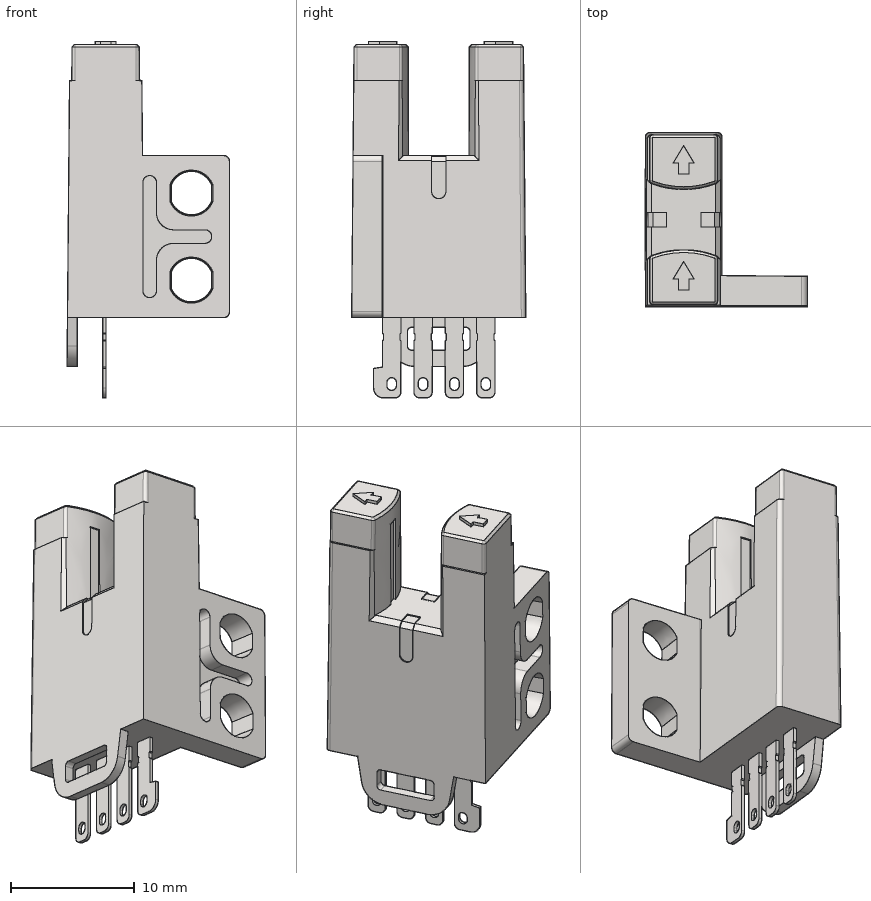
import cadquery as cq
import math

DRAFT_ANGLE = 0.5
BODY_WIDTH = 6.2
BODY_DEPTH = 14.12
TOTAL_WIDTH = 13.17
TOTAL_HEIGHT = 28.88
PLATE_HEIGHT = 13.15
PLATE_THICKNESS = 2.55
CAP_BASE_Z = 19.2
CAP_TOP_Z = 22.12
ARROW_TOP_Z = 22.38
REAR_CORNER_RADIUS = 0.38

GAP_DRAFT_ANGLE = 0.2
GAP_HALF_AT_EDGE = 3.12
LEG_BULGE = 0.7
GAP_BEVEL = 0.4
BEVEL_HALF_GAP = 3.25

CAP_WIDTH = 5.52
CAP_CORNER_RADIUS = 0.3
CAP_BEVEL = 0.2

SLIT_WIDTH = 0.98
SLIT_DEPTH = 0.2
SLIT_TOP_Z = 20.6

INDEX_WIDTH = 1.15
INDEX_DEPTH = 0.1
INDEX_LENGTH_ON_FLOOR = 1.73
INDEX_BOTTOM_Z = 9.65

PLATE_CORNER_RADIUS = 0.5
HOLE_X = 10.08
HOLE_SPACING = 7.05
HOLE_DIAMETER = 3.73
HOLE_ACROSS_FLATS = 3.47
HOLE_TAPER = 2.5

GROOVE_WIDTH = 1.1
GROOVE_LEFT_X = 6.15
GROOVE_TIP_X = 11.73
GROOVE_LENGTH = 9.88
GROOVE_INNER_RADIUS = 1.4
GROOVE_DEPTH = 1.5

TAB_THICKNESS = 0.85
TAB_TOP_WIDTH = 8.5
TAB_HEIGHT = 3.95
TAB_SIDE_ANGLE = 9.0
TAB_CORNER_RADIUS = 2.0
WINDOW_WIDTH = 5.05
WINDOW_HEIGHT = 1.85
WINDOW_TOP_Z = -0.78
WINDOW_RADIUS = 0.35

TERMINAL_COUNT = 4
TERMINAL_PITCH = 2.55
TERMINAL_X = 3.03
TERMINAL_THICKNESS = 0.3
TERMINAL_WIDTH = 1.5
TERMINAL_BOTTOM_Z = ARROW_TOP_Z - TOTAL_HEIGHT
TERMINAL_RADIUS = 0.5
TERMINAL_EMBED = 0.58
TERMINAL_HOLE_WIDTH = 0.75
TERMINAL_HOLE_HEIGHT = 1.0
TERMINAL_HOLE_Z = -5.37
NOTCH_DEPTH = 0.1
NOTCH_TOP_Z = -1.25
NOTCH_BOTTOM_Z = -1.88
FLAG_OVERHANG = 0.72
FLAG_TOP_Z = -3.99
FLAG_SLOPE_DROP = 0.12
FLAG_RADIUS = 0.8

ARROW_LENGTH = 2.3
ARROW_HEAD_LENGTH = 1.42
ARROW_HEAD_WIDTH = 1.7
ARROW_STEM_WIDTH = 0.85
ARROW_SPACING = 9.4
ARROW_SHIFT_Y = 0.15

DRAFT = math.tan(math.radians(DRAFT_ANGLE))
BODY_LEFT = DRAFT * TAB_HEIGHT
BODY_RIGHT = BODY_LEFT + BODY_WIDTH
CENTER_X = BODY_LEFT + BODY_WIDTH / 2
CENTER_Y = BODY_DEPTH / 2


def box(x, y, z):
    """Axis-aligned box from (min, max) pairs."""
    size = (x[1] - x[0], y[1] - y[0], z[1] - z[0])
    return cq.Workplane("XY").box(*size, centered=False).translate((x[0], y[0], z[0]))


def mirror_x(shape):
    return shape.mirror("YZ", (CENTER_X, 0, 0))


def mirror_y(shape):
    return shape.mirror("XZ", (0, CENTER_Y, 0))


def housing_block():
    """Drafted block with rounded rear corners."""
    return (
        cq.Workplane("XY", origin=(CENTER_X, CENTER_Y, 0))
        .rect(BODY_WIDTH, BODY_DEPTH)
        .extrude(CAP_BASE_Z, taper=DRAFT_ANGLE)
        .faces(">Y")
        .edges("not |X")
        .fillet(REAR_CORNER_RADIUS)
    )


def gap_cutter():
    """Space between the legs; both walls bulge into it and lean slightly apart."""
    half = GAP_HALF_AT_EDGE
    waist = half - LEG_BULGE
    return (
        cq.Workplane("XY", origin=(0, CENTER_Y, PLATE_HEIGHT))
        .moveTo(BODY_LEFT, -half)
        .threePointArc((CENTER_X, -waist), (BODY_RIGHT, -half))
        .lineTo(BODY_RIGHT, half)
        .threePointArc((CENTER_X, waist), (BODY_LEFT, half))
        .close()
        .extrude(CAP_TOP_Z - PLATE_HEIGHT, taper=-GAP_DRAFT_ANGLE)
    )


def gap_edge_bevel():
    """45-degree bevel along the floor and walls of the gap at the -X face."""
    bottom_z = PLATE_HEIGHT - GAP_BEVEL
    height = 2 * (CAP_TOP_Z - bottom_z)
    return (
        cq.Workplane("YZ", origin=(BODY_LEFT + DRAFT * bottom_z, CENTER_Y, bottom_z + height / 2))
        .rect(2 * BEVEL_HALF_GAP, height)
        .extrude(2 * GAP_BEVEL, taper=45)
    )


def index_groove():
    """Shallow groove running up the -X face, over the bevel and along the gap floor."""
    face_x = BODY_LEFT + DRAFT * PLATE_HEIGHT + INDEX_DEPTH
    floor_z = PLATE_HEIGHT - INDEX_DEPTH
    radius = INDEX_WIDTH / 2
    path = (
        cq.Workplane("XZ", origin=(0, CENTER_Y, 0))
        .moveTo(0, INDEX_BOTTOM_Z)
        .lineTo(face_x, INDEX_BOTTOM_Z)
        .lineTo(face_x, floor_z - GAP_BEVEL)
        .lineTo(face_x + GAP_BEVEL, floor_z)
        .lineTo(INDEX_LENGTH_ON_FLOOR, floor_z)
        .lineTo(INDEX_LENGTH_ON_FLOOR, PLATE_HEIGHT)
        .lineTo(0, PLATE_HEIGHT)
        .close()
        .extrude(radius, both=True)
    )
    outline = (
        cq.Workplane("YZ", origin=(0, CENTER_Y, INDEX_BOTTOM_Z + radius))
        .moveTo(-radius, PLATE_HEIGHT)
        .lineTo(-radius, 0)
        .threePointArc((0, -radius), (radius, 0))
        .lineTo(radius, PLATE_HEIGHT)
        .close()
        .extrude(INDEX_LENGTH_ON_FLOOR)
    )
    return path.intersect(outline)


def leg_caps():
    """Narrower caps on both legs, with rounded corners and bevelled tops."""
    depth = BODY_DEPTH - 2 * DRAFT * CAP_BASE_Z
    outline = cq.Sketch().rect(CAP_WIDTH, depth).vertices().fillet(CAP_CORNER_RADIUS)
    gap_corners = cq.selectors.BoxSelector(
        (0, CENTER_Y - GAP_HALF_AT_EDGE - CAP_CORNER_RADIUS, CAP_BASE_Z + CAP_BEVEL),
        (BODY_RIGHT, CENTER_Y + GAP_HALF_AT_EDGE + CAP_CORNER_RADIUS, CAP_TOP_Z - CAP_BEVEL),
    )
    return (
        cq.Workplane("XY", origin=(CENTER_X, CENTER_Y, CAP_BASE_Z))
        .placeSketch(outline)
        .extrude(CAP_TOP_Z - CAP_BASE_Z, taper=DRAFT_ANGLE)
        .cut(gap_cutter())
        .edges(gap_corners)
        .fillet(CAP_CORNER_RADIUS)
        .faces(">Z")
        .chamfer(CAP_BEVEL)
    )


def light_slit():
    """Shallow vertical slit in the inner face of the front leg."""
    face_y = CENTER_Y - GAP_HALF_AT_EDGE + LEG_BULGE
    return box(
        (CENTER_X - SLIT_WIDTH / 2, CENTER_X + SLIT_WIDTH / 2),
        (face_y - SLIT_DEPTH, CENTER_Y),
        (PLATE_HEIGHT, SLIT_TOP_Z),
    )


def arrow():
    """Raised arrow pointing to +Y, set slightly behind the middle of the housing."""
    tip = ARROW_LENGTH / 2
    shoulder = tip - ARROW_HEAD_LENGTH
    half_head = ARROW_HEAD_WIDTH / 2
    half_stem = ARROW_STEM_WIDTH / 2
    return (
        cq.Workplane("XY", origin=(CENTER_X, CENTER_Y + ARROW_SHIFT_Y, CAP_TOP_Z))
        .polyline([
            (0, tip),
            (half_head, shoulder),
            (half_stem, shoulder),
            (half_stem, -tip),
            (-half_stem, -tip),
            (-half_stem, shoulder),
            (-half_head, shoulder),
        ])
        .close()
        .extrude(ARROW_TOP_Z - CAP_TOP_Z)
    )


def mounting_plate():
    """Plate beside the housing; its front follows the housing draft, its back thins outwards."""
    start_x = CENTER_X
    outer_back = PLATE_THICKNESS - DRAFT * (TOTAL_WIDTH - BODY_RIGHT)
    plan = (
        cq.Workplane("XY")
        .polyline([
            (start_x, 0),
            (TOTAL_WIDTH, 0),
            (TOTAL_WIDTH, outer_back),
            (BODY_RIGHT, PLATE_THICKNESS),
            (start_x, PLATE_THICKNESS),
        ])
        .close()
        .extrude(PLATE_HEIGHT)
        .edges("|Y and >X")
        .fillet(PLATE_CORNER_RADIUS)
    )
    side = (
        cq.Workplane("YZ")
        .polyline([
            (0, 0),
            (PLATE_THICKNESS, 0),
            (PLATE_THICKNESS, PLATE_HEIGHT),
            (DRAFT * PLATE_HEIGHT, PLATE_HEIGHT),
        ])
        .close()
        .extrude(TOTAL_WIDTH)
    )
    return plan.intersect(side)


def mounting_holes():
    """Two round through holes with flats on both sides, narrowing towards the back."""
    radius = HOLE_DIAMETER / 2
    half = HOLE_ACROSS_FLATS / 2
    half_flat = math.sqrt(radius**2 - half**2)
    holes = cq.Workplane("XZ")
    for side in (-1, 1):
        hole = (
            cq.Workplane("XZ", origin=(HOLE_X, 0, PLATE_HEIGHT / 2 + side * HOLE_SPACING / 2))
            .moveTo(half, -half_flat)
            .lineTo(half, half_flat)
            .threePointArc((0, radius), (-half, half_flat))
            .lineTo(-half, -half_flat)
            .threePointArc((0, -radius), (half, -half_flat))
            .close()
            .extrude(-PLATE_THICKNESS, taper=HOLE_TAPER)
        )
        holes = holes.add(hole)
    return holes.combine()


def plate_groove():
    """T-shaped blind groove with rounded ends and rounded inner corners."""
    half = GROOVE_WIDTH / 2
    middle = PLATE_HEIGHT / 2
    stem_x = GROOVE_LEFT_X + half
    corner = half + GROOVE_INNER_RADIUS
    upright = (
        cq.Workplane("XZ", origin=(stem_x, 0, middle))
        .slot2D(GROOVE_LENGTH, GROOVE_WIDTH, 90)
        .extrude(-GROOVE_DEPTH)
    )
    arm_length = GROOVE_TIP_X - GROOVE_LEFT_X
    arm = (
        cq.Workplane("XZ", origin=(GROOVE_LEFT_X + arm_length / 2, 0, middle))
        .slot2D(arm_length, GROOVE_WIDTH)
        .extrude(-GROOVE_DEPTH)
    )
    groove = upright.union(arm)
    for side in (-1, 1):
        web = (
            cq.Workplane("XZ", origin=(stem_x, 0, middle))
            .moveTo(half, side * half)
            .lineTo(corner, side * half)
            .radiusArc((half, side * corner), side * GROOVE_INNER_RADIUS)
            .close()
            .extrude(-GROOVE_DEPTH)
        )
        groove = groove.union(web)
    return groove


def retaining_tab():
    """Tapered, round-cornered tab with a window, continuing the drafted -X face."""
    half_top = TAB_TOP_WIDTH / 2
    half_bottom = half_top - TAB_HEIGHT * math.tan(math.radians(TAB_SIDE_ANGLE))
    tab = (
        cq.Workplane("YZ", origin=(0, CENTER_Y, 0))
        .polyline([
            (-half_top, 0),
            (half_top, 0),
            (half_bottom, -TAB_HEIGHT),
            (-half_bottom, -TAB_HEIGHT),
        ])
        .close()
        .extrude(TAB_THICKNESS)
        .edges("|X and <Z")
        .fillet(TAB_CORNER_RADIUS)
    )
    window = (
        cq.Workplane("YZ", origin=(0, CENTER_Y, WINDOW_TOP_Z - WINDOW_HEIGHT / 2))
        .rect(WINDOW_WIDTH, WINDOW_HEIGHT)
        .extrude(TAB_THICKNESS)
        .edges("|X")
        .fillet(WINDOW_RADIUS)
    )
    drafted_side = (
        cq.Workplane("XZ")
        .polyline([
            (BODY_LEFT, 0),
            (TAB_THICKNESS, 0),
            (TAB_THICKNESS, -TAB_HEIGHT),
            (0, -TAB_HEIGHT),
        ])
        .close()
        .extrude(-BODY_DEPTH)
    )
    return tab.cut(window).intersect(drafted_side)


def terminal_plane(y, z):
    """Sketch plane on the -X face of a terminal."""
    return cq.Workplane("YZ", origin=(TERMINAL_X - TERMINAL_THICKNESS / 2, y, z))


def terminal(y, flagged):
    """Solder terminal with a notch in each edge; a flagged one widens towards -Y at its end."""
    half = TERMINAL_WIDTH / 2
    height = TERMINAL_EMBED - TERMINAL_BOTTOM_Z
    blade = (
        terminal_plane(y, TERMINAL_BOTTOM_Z + height / 2)
        .rect(TERMINAL_WIDTH, height)
        .extrude(TERMINAL_THICKNESS)
        .edges("|X and <Z")
        .fillet(TERMINAL_RADIUS)
    )
    if flagged:
        flag = (
            terminal_plane(y, 0)
            .polyline([
                (0, FLAG_TOP_Z),
                (-half, FLAG_TOP_Z),
                (-half - FLAG_OVERHANG, FLAG_TOP_Z - FLAG_SLOPE_DROP),
                (-half - FLAG_OVERHANG, TERMINAL_BOTTOM_Z),
                (0, TERMINAL_BOTTOM_Z),
            ])
            .close()
            .extrude(TERMINAL_THICKNESS)
            .edges("|X and <Y and <Z")
            .fillet(FLAG_RADIUS)
        )
        blade = blade.union(flag)
    for side in (-1, 1):
        notch = (
            terminal_plane(y, 0)
            .polyline([
                (side * half, NOTCH_TOP_Z),
                (side * (half - NOTCH_DEPTH), NOTCH_TOP_Z - NOTCH_DEPTH),
                (side * (half - NOTCH_DEPTH), NOTCH_BOTTOM_Z + NOTCH_DEPTH),
                (side * half, NOTCH_BOTTOM_Z),
            ])
            .close()
            .extrude(TERMINAL_THICKNESS)
        )
        blade = blade.cut(notch)
    eye = (
        terminal_plane(y, TERMINAL_HOLE_Z)
        .slot2D(TERMINAL_HOLE_HEIGHT, TERMINAL_HOLE_WIDTH, 90)
        .extrude(TERMINAL_THICKNESS)
    )
    return blade.cut(eye)


housing = housing_block().cut(gap_cutter())
for cutter in (gap_edge_bevel(), index_groove()):
    housing = housing.cut(cutter).cut(mirror_x(cutter))

housing = housing.union(leg_caps())

slit = light_slit()
housing = housing.cut(slit).cut(mirror_y(slit))

for side in (-1, 1):
    housing = housing.union(arrow().translate((0, side * ARROW_SPACING / 2, 0)))

housing = housing.union(mounting_plate())
housing = housing.cut(mounting_holes()).cut(plate_groove())

result = housing.union(retaining_tab())
for index in range(TERMINAL_COUNT):
    terminal_y = CENTER_Y + (index - (TERMINAL_COUNT - 1) / 2) * TERMINAL_PITCH
    result = result.union(terminal(terminal_y, flagged=index == 0))
result = result.clean()